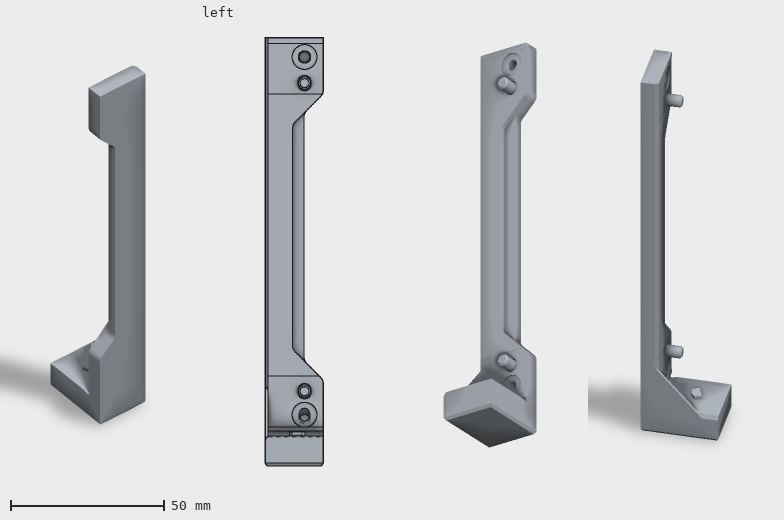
import cadquery as cq
import math

LENGTH = 26.0
WIDTH = 19.0
HEIGHT = 140.0

WALL_THICKNESS = 6.0
BASE_HEIGHT = 10.0
FOOT_CHAMFER_HEIGHT = 1.0
FOOT_CHAMFER_INSET = 0.7
BACK_CHAMFER_DEPTH = 1.4
BACK_CHAMFER_WIDTH = 1.0
RELIEF_DIAMETER = 2.0
RELIEF_OFFSET_X = 0.3
RELIEF_OFFSET_Z = 0.5
RELIEF_LENGTH = 2.0
WALL_X = LENGTH - WALL_THICKNESS

CUTOUT_BOTTOM = 28.1
CUTOUT_TOP = HEIGHT - 18.3
NOTCH_DEPTH = 10.1
FLANGE_NOTCH_DEPTH = 6.3
FLANGE_THICKNESS = 3.5
CORNER_RADIUS = 3.0

GUSSET_THICKNESS = BACK_CHAMFER_WIDTH
GUSSET_FOOT_X = 6.7
GUSSET_SLOPE = 1.12

PAD_DEPTH = 0.1
LOWER_PAD = (12.7, 29.5)
UPPER_PAD = (CUTOUT_TOP, HEIGHT - 1.8)
PAD_X = WALL_X + PAD_DEPTH

HOLE_Y = 6.2
SPOT_FACE_DIAMETER = 8.1
SPOT_FACE_DEPTH = 0.5
SPOT_FACE_X = PAD_X + SPOT_FACE_DEPTH
UPPER_HOLE_Z = 133.7
UPPER_HOLE_DIAMETER = 3.5
UPPER_MOUTH_DIAMETER = 4.0
UPPER_HOLE_DEPTH = 3.5
LOWER_HOLE_Z = 16.8
LOWER_HOLE_DIAMETER = 3.5
LOWER_HOLE_TILT = 35.0
LOWER_HOLE_DEPTH = 2.4

PIN_HEIGHTS = (24.5, 125.2)
PIN_DIAMETER = 4.0
PIN_PROTRUSION = 5.0
PIN_CHAMFER = 0.5
SLOT_WIDTH = 4.2
SLOT_HEIGHT = 5.0
SLOT_DEPTH = 2.8
SLOT_FLOOR_X = PAD_X + SLOT_DEPTH

KEY_X = 8.4
KEY_Y = 8.1
KEY_LENGTH = 4.5
KEY_SIDE = 2.2
KEY_ARC_RADIUS = 3.5
KEY_HEIGHT = 1.3
KEY_ANGLE = 22.5


def box(x_range, y_range, z_range):
    """Box given by its limits along each axis."""
    size = [high - low for low, high in (x_range, y_range, z_range)]
    corner = (x_range[0], y_range[0], z_range[0])
    return cq.Workplane("XY").box(*size, centered=False).translate(corner)


def yz_plane(x):
    """Plane facing +X whose local axes are Y and Z."""
    return cq.Workplane("YZ", origin=(x, 0, 0))


def make_foot():
    """Base plate with its bottom edges chamfered more steeply than 45 degrees."""
    upper = box((0, LENGTH), (0, WIDTH), (FOOT_CHAMFER_HEIGHT, BASE_HEIGHT))
    taper = math.degrees(math.atan2(FOOT_CHAMFER_INSET, FOOT_CHAMFER_HEIGHT))
    lower = (
        cq.Workplane("XY", origin=(LENGTH / 2, WIDTH / 2, FOOT_CHAMFER_HEIGHT))
        .rect(LENGTH, WIDTH)
        .extrude(-FOOT_CHAMFER_HEIGHT, taper=taper)
    )
    return upper.union(lower)


def make_back_chamfers():
    """Wedges that bevel the base top edge and the wall face edge at +Y."""
    inner_y = WIDTH - BACK_CHAMFER_WIDTH
    wall_bevel_x = WALL_X + BACK_CHAMFER_DEPTH
    base_bevel_z = BASE_HEIGHT - BACK_CHAMFER_DEPTH
    base_wedge = (
        cq.Workplane("YZ")
        .polyline([(inner_y, BASE_HEIGHT), (WIDTH, BASE_HEIGHT), (WIDTH, base_bevel_z)])
        .close()
        .extrude(wall_bevel_x)
    )
    wall_wedge = (
        cq.Workplane("XY", origin=(0, 0, base_bevel_z))
        .polyline([(WALL_X, inner_y), (WALL_X, WIDTH), (wall_bevel_x, WIDTH)])
        .close()
        .extrude(HEIGHT - base_bevel_z)
    )
    return base_wedge.union(wall_wedge)


def make_corner_relief():
    """Round groove along the inner corner, with a ramp down to it from the base."""
    center_x = WALL_X - RELIEF_OFFSET_X
    center_z = BASE_HEIGHT + RELIEF_OFFSET_Z
    radius = RELIEF_DIAMETER / 2
    groove = cq.Workplane("XZ").center(center_x, center_z).circle(radius).extrude(-WIDTH)
    ramp = (
        cq.Workplane("XZ")
        .moveTo(WALL_X - RELIEF_LENGTH, BASE_HEIGHT)
        .lineTo(center_x, center_z - radius)
        .lineTo(center_x, BASE_HEIGHT)
        .close()
        .extrude(-WIDTH)
    )
    return groove.union(ramp)


def make_notch(depth, x_start, x_end):
    """Notch with 45 degree ends cut from the -Y side, all four corners rounded."""
    mouth_y = -CORNER_RADIUS
    mouth_bottom = CUTOUT_BOTTOM - CORNER_RADIUS
    mouth_top = CUTOUT_TOP + CORNER_RADIUS
    notch = (
        yz_plane(x_start)
        .moveTo(mouth_y, mouth_bottom)
        .lineTo(0, mouth_bottom)
        .lineTo(0, CUTOUT_BOTTOM)
        .lineTo(depth, CUTOUT_BOTTOM + depth)
        .lineTo(depth, CUTOUT_TOP - depth)
        .lineTo(0, CUTOUT_TOP)
        .lineTo(0, mouth_top)
        .lineTo(mouth_y, mouth_top)
        .close()
        .extrude(x_end - x_start)
    )
    corners = cq.selectors.BoxSelector(
        (x_start, mouth_y / 2, CUTOUT_BOTTOM - CORNER_RADIUS / 2),
        (x_end, WIDTH, CUTOUT_TOP + CORNER_RADIUS / 2),
    )
    return notch.edges("|X").edges(corners).fillet(CORNER_RADIUS)


def make_gusset():
    """Thin triangular web that fills the inner corner on the +Y side."""
    back_x = WALL_X + BACK_CHAMFER_DEPTH
    foot_z = BASE_HEIGHT - BACK_CHAMFER_DEPTH
    top_z = BASE_HEIGHT + (back_x - GUSSET_FOOT_X) * GUSSET_SLOPE
    front_x = GUSSET_FOOT_X - BACK_CHAMFER_DEPTH / GUSSET_SLOPE
    return (
        cq.Workplane("XZ", origin=(0, WIDTH, 0))
        .polyline([(front_x, foot_z), (back_x, foot_z), (back_x, top_z)])
        .close()
        .extrude(GUSSET_THICKNESS)
    )


def make_key():
    """D-shaped key, turned about Z, with its round side towards the wall."""
    half = KEY_LENGTH / 2
    bulge = KEY_ARC_RADIUS - math.sqrt(KEY_ARC_RADIUS**2 - half**2)
    return (
        cq.Workplane("XY")
        .moveTo(0, -half)
        .lineTo(KEY_SIDE, -half)
        .threePointArc((KEY_SIDE + bulge, 0), (KEY_SIDE, half))
        .lineTo(0, half)
        .close()
        .extrude(KEY_HEIGHT)
        .rotate((0, 0, 0), (0, 0, 1), KEY_ANGLE)
        .translate((KEY_X, KEY_Y, BASE_HEIGHT))
    )


def make_pad_recess(z_range):
    """Shallow recess across the wall face, in front of the gusset."""
    return box((WALL_X, PAD_X), (0, WIDTH - GUSSET_THICKNESS), z_range)


def make_spot_face(z):
    """Round seat around a screw hole."""
    return (
        yz_plane(WALL_X)
        .center(HOLE_Y, z)
        .circle(SPOT_FACE_DIAMETER / 2)
        .extrude(SPOT_FACE_X - WALL_X)
    )


def make_upper_hole():
    """Straight blind hole with a chamfered mouth."""
    mouth = yz_plane(SPOT_FACE_X).center(HOLE_Y, UPPER_HOLE_Z)
    mouth_chamfer = (UPPER_MOUTH_DIAMETER - UPPER_HOLE_DIAMETER) / 2
    bore = mouth.circle(UPPER_HOLE_DIAMETER / 2).extrude(UPPER_HOLE_DEPTH)
    countersink = mouth.circle(UPPER_MOUTH_DIAMETER / 2).extrude(mouth_chamfer, taper=45)
    return bore.union(countersink)


def make_lower_hole():
    """Blind hole that slopes down into the wall."""
    tilt = math.radians(LOWER_HOLE_TILT)
    axis = cq.Vector(math.cos(tilt), 0, -math.sin(tilt))
    mouth = cq.Vector(SPOT_FACE_X, HOLE_Y, LOWER_HOLE_Z)
    lead = LOWER_HOLE_DIAMETER
    hole = cq.Solid.makeCylinder(
        LOWER_HOLE_DIAMETER / 2, LOWER_HOLE_DEPTH + lead, mouth - axis * lead, axis
    )
    inside = box((SPOT_FACE_X, LENGTH), (0, WIDTH), (0, HEIGHT))
    return inside.intersect(cq.Workplane(hole))


def make_pin_slot(z):
    """Upright slot that seats a pin on its flat floor."""
    return (
        yz_plane(WALL_X)
        .center(HOLE_Y, z)
        .slot2D(SLOT_HEIGHT, SLOT_WIDTH, 90)
        .extrude(SLOT_FLOOR_X - WALL_X)
    )


def make_bracket():
    wall = box((WALL_X, LENGTH), (0, WIDTH), (BASE_HEIGHT, HEIGHT))
    bracket = make_foot().union(wall)
    bracket = bracket.cut(make_back_chamfers()).cut(make_corner_relief())
    bracket = bracket.cut(make_notch(NOTCH_DEPTH, WALL_X, LENGTH - FLANGE_THICKNESS))
    bracket = bracket.cut(make_notch(FLANGE_NOTCH_DEPTH, LENGTH - FLANGE_THICKNESS, LENGTH))
    for pad in (LOWER_PAD, UPPER_PAD):
        bracket = bracket.cut(make_pad_recess(pad))
    for z in (LOWER_HOLE_Z, UPPER_HOLE_Z):
        bracket = bracket.cut(make_spot_face(z))
    bracket = bracket.cut(make_upper_hole()).cut(make_lower_hole())
    for z in PIN_HEIGHTS:
        bracket = bracket.cut(make_pin_slot(z))
    return bracket.union(make_gusset()).union(make_key())


def make_pin(z):
    """Locating pin with a chamfered tip, standing on the floor of its slot."""
    return (
        yz_plane(WALL_X - PIN_PROTRUSION)
        .center(HOLE_Y, z)
        .circle(PIN_DIAMETER / 2)
        .extrude(PIN_PROTRUSION + SLOT_FLOOR_X - WALL_X)
        .faces("<X")
        .chamfer(PIN_CHAMFER)
    )


bracket = make_bracket()
pins = [make_pin(z) for z in PIN_HEIGHTS]

result = cq.Compound.makeCompound([bracket.val(), *[pin.val() for pin in pins]])